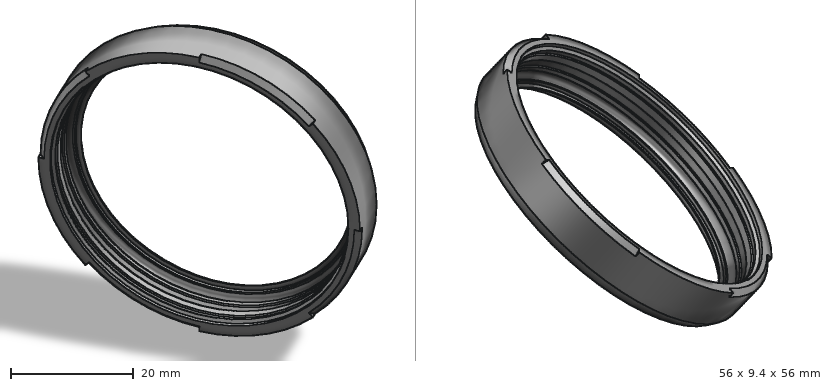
import cadquery as cq
import math

outer_radius = 28.0
ring_width = 9.4
front_y = -ring_width / 2
rear_y = ring_width / 2

rear_chamfer_width = 1.75
rear_chamfer_drop = 1.0

notch_count = 4
notch_span = 45.0
notch_size = 1.0
notch_overcut = 0.55

mouth_radius = 26.0
mouth_depth = 0.6
lead_in_depth = 1.1

crest_radius = 25.5
root_radius = 25.75
flank_width = 0.15
ridges = [(2.2, 3.5), (5.15, 6.0)]

fillet_radius = 1.35
fillet_inner_radius = 24.8
fillet_end_depth = 7.4

lip_step_radius = 24.5
lip_radius = 23.65
lip_depth = 8.0
lip_land = 0.2
flare_radius = 24.65

fillet_angle = math.acos(1 - (root_radius - fillet_inner_radius) / fillet_radius)
fillet_start_depth = fillet_end_depth - fillet_radius * math.sin(fillet_angle)


def at(radius, depth):
    """Profile point at a radius and a depth behind the front face."""
    return (radius, front_y + depth)


def fillet_point(angle):
    """Point on the fillet arc after turning by an angle from its tangent start."""
    radius = root_radius - fillet_radius * (1 - math.cos(angle))
    return at(radius, fillet_start_depth + fillet_radius * math.sin(angle))


def revolve_about_y(profile, angle):
    return profile.close().revolve(angle, (0, 0, 0), (0, 1, 0))


def ring_body():
    profile = (
        cq.Workplane("XY")
        .moveTo(mouth_radius, front_y)
        .lineTo(outer_radius, front_y)
        .lineTo(outer_radius, rear_y - rear_chamfer_width)
        .lineTo(outer_radius - rear_chamfer_drop, rear_y)
    )
    profile = (
        profile.lineTo(flare_radius, rear_y)
        .lineTo(*at(lip_radius, lip_depth + lip_land))
        .lineTo(*at(lip_radius, lip_depth))
        .lineTo(*at(lip_step_radius, lip_depth))
        .lineTo(*at(lip_step_radius, fillet_end_depth))
        .lineTo(*fillet_point(fillet_angle))
        .threePointArc(fillet_point(fillet_angle / 2), fillet_point(0))
    )
    for crest_start, crest_end in reversed(ridges):
        profile = (
            profile.lineTo(*at(root_radius, crest_end + flank_width))
            .lineTo(*at(crest_radius, crest_end))
            .lineTo(*at(crest_radius, crest_start))
            .lineTo(*at(root_radius, crest_start - flank_width))
        )
    profile = (
        profile.lineTo(*at(root_radius, lead_in_depth + flank_width))
        .lineTo(*at(crest_radius, lead_in_depth))
        .lineTo(*at(mouth_radius, mouth_depth))
    )
    return revolve_about_y(profile, 360)


def notch_cutter():
    """Wedge that bevels the front edge over one span, from +X toward -Z."""
    profile = (
        cq.Workplane("XY")
        .moveTo(*at(outer_radius - notch_size, 0))
        .lineTo(*at(outer_radius + notch_overcut, 0))
        .lineTo(*at(outer_radius + notch_overcut, notch_size))
        .lineTo(*at(outer_radius, notch_size))
    )
    return revolve_about_y(profile, notch_span)


result = ring_body()
for index in range(notch_count):
    turn = index * 360 / notch_count
    result = result.cut(notch_cutter().rotate((0, 0, 0), (0, 1, 0), turn))